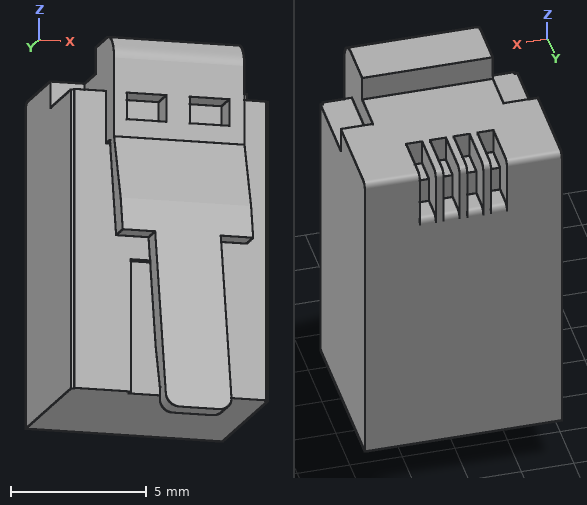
import cadquery as cq


part_height = 14.8

body_width = 7.5
body_depth = 6.51
body_bottom = 1.47
body_top = 13.81
back_edge_radius = 0.25

front_rebate = 0.1

latch_width = 4.97
latch_shift = 0.05
shoulder_start = 3.48
shoulder_drop = 1.0

hook_start = 5.02
hook_front = 7.62
hook_radius = 1.0
hook_bottom = 10.82
lever_root = 7.03
elbow_front = 8.55
elbow_height = 8.26
lever_front = 10.46
tip_back = 9.5
tip_bend_height = 0.95
lever_bend_back = 8.91
lever_bend_height = 2.63

shoulder_height = 7.0
tail_width = 2.5
tail_radius = 0.49

window_width = 1.51
window_height = 1.0
window_spacing = 2.4
window_bottom = 11.5

slot_count = 4
slot_width = 0.6
slot_pitch = 0.9
slot_length = 1.98
slot_step = slot_length / 2
slot_shallow_depth = 1.0
slot_deep_depth = 2 * slot_shallow_depth

recess_width = 3.0
recess_top = 6.48
recess_depth = 0.3


def box(width, y_back, y_front, z_low, z_high, x_middle=0.0):
    """Box centred on x_middle, spanning distances y_back..y_front forward of the back face."""
    return (
        cq.Workplane("XY")
        .box(width, y_front - y_back, z_high - z_low, centered=(True, False, False))
        .translate((x_middle, -y_front, z_low))
    )


def make_body():
    body = box(body_width, 0, body_depth, body_bottom, body_top)
    body = body.edges(">Y and >Z").fillet(back_edge_radius)
    for side in (-1, 1):
        rebate_middle = side * (body_width - front_rebate) / 2
        rebate_back = body_depth - front_rebate
        body = body.cut(
            box(front_rebate, rebate_back, body_depth, body_bottom, body_top, rebate_middle)
        )
        cutter_middle = latch_shift + side * (latch_width + body_width) / 2
        body = body.cut(
            box(body_width, shoulder_start, body_depth, body_top - shoulder_drop, body_top,
                cutter_middle)
        )
    return body.cut(box(recess_width, body_depth - recess_depth, body_depth, body_bottom, recess_top))


def cut_contact_slots(body):
    shallow_floor = body_top - slot_shallow_depth
    deep_floor = body_top - slot_deep_depth
    slot = box(slot_width, 0, slot_length, shallow_floor, body_top)
    slot = slot.union(box(slot_width, 0, slot_step, deep_floor, body_top))
    rounding = box(slot_width, 0, back_edge_radius, deep_floor - back_edge_radius, deep_floor)
    rounding = rounding.cut(
        cq.Workplane("YZ")
        .center(-back_edge_radius, deep_floor - back_edge_radius)
        .circle(back_edge_radius)
        .extrude(slot_width, both=True)
    )
    slot = slot.union(rounding)
    for index in range(slot_count):
        x = (index - (slot_count - 1) / 2) * slot_pitch
        body = body.cut(slot.translate((x, 0, 0)))
    return body


def make_latch():
    side_points = [
        (hook_start, body_top - shoulder_drop),
        (hook_start, part_height),
        (hook_front, part_height),
        (hook_front, hook_bottom),
        (elbow_front, elbow_height),
        (lever_front, 0),
        (tip_back, 0),
        (tip_back, tip_bend_height),
        (lever_bend_back, lever_bend_height),
        (lever_root, hook_bottom),
        (body_depth, hook_bottom),
        (body_depth, body_top - shoulder_drop),
    ]
    latch = (
        cq.Workplane("YZ")
        .polyline([(-forward, height) for forward, height in side_points])
        .close()
        .extrude(latch_width / 2, both=True)
        .translate((latch_shift, 0, 0))
    )
    rounded_edge = cq.selectors.NearestToPointSelector((0, -hook_front, part_height))
    latch = latch.edges(rounded_edge).fillet(hook_radius)

    wide_part = box(latch_width, 0, lever_front, shoulder_height, part_height, latch_shift)
    tail = box(tail_width, 0, lever_front, 0, shoulder_height, latch_shift)
    tail = tail.edges("|Y and <Z").fillet(tail_radius)
    return latch.intersect(wide_part.union(tail))


def cut_windows(part):
    for side in (-1, 1):
        part = part.cut(
            box(window_width, body_depth, hook_front, window_bottom, window_bottom + window_height,
                side * window_spacing / 2)
        )
    return part


result = cut_windows(cut_contact_slots(make_body()).union(make_latch()))